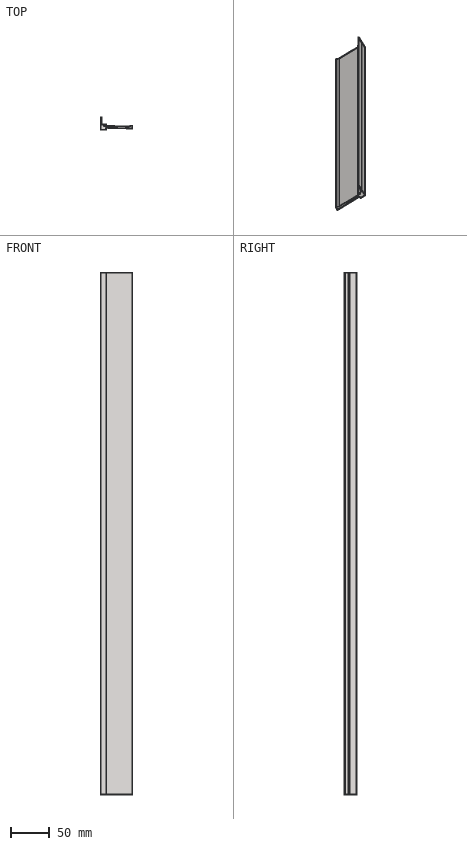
import cadquery as cq

width = 41.0
depth = 16.0
length = 677.0

wall = 1.2

foot_width = 7.0
foot_depth = 7.0
slot_floor_x = 4.0
lip_front_y = foot_depth - wall

web_front_at_foot = 2.4
web_front_at_edge = 1.5
web_back_at_slot = 5.2

bead_start_x = 36.7
bead_top_x = 39.5
bead_back_y = 5.5
web_back_at_bead = 4.5


def flange_and_foot():
    """L-shaped section: upright flange and solid foot."""
    return (
        cq.Workplane("XY")
        .moveTo(0, 0)
        .lineTo(foot_width, 0)
        .lineTo(foot_width, foot_depth)
        .lineTo(wall, foot_depth)
        .lineTo(wall, depth)
        .lineTo(0, depth)
        .close()
        .extrude(length)
    )


def lip_slot():
    """Slot in the foot, open toward the web, that leaves a thin lip behind the web."""
    slot_width = foot_width - slot_floor_x
    slot_height = lip_front_y - web_back_at_slot
    return (
        cq.Workplane("XY")
        .box(slot_width, slot_height, length, centered=False)
        .translate((slot_floor_x, web_back_at_slot, 0))
    )


def web_and_bead():
    """Leaning web that starts at the foot and flares into the bead at the free edge."""
    return (
        cq.Workplane("XY")
        .moveTo(foot_width, web_front_at_foot)
        .lineTo(width, web_front_at_edge)
        .lineTo(width, bead_back_y)
        .lineTo(bead_top_x, bead_back_y)
        .lineTo(bead_start_x, web_back_at_bead)
        .lineTo(foot_width, web_back_at_slot)
        .close()
        .extrude(length)
    )


result = flange_and_foot().cut(lip_slot()).union(web_and_bead())